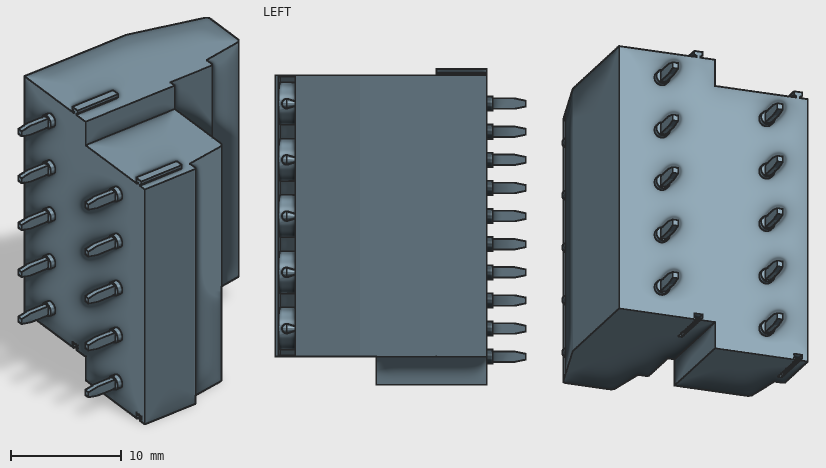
import cadquery as cq

PITCH = 5.07
POLES = 5
STAGGER = PITCH / 2
ROW_LENGTH = 25.4
TALL_ROW_START = STAGGER
LOW_ROW_START = 0

WIDTH = 18.3
TALL_HEIGHT = 19.1
TALL_STEP_HEIGHT = 14.8
LOW_HEIGHT = 10.0
LOW_STEP_HEIGHT = 5.8
SLANT_START = 11.43
SLANT_TOP = 2.05
TALL_FLANK_TOP = 6.93
TALL_FLANK_FOOT = 7.65
TALL_STEP_X = 8.65
ROW_JOINT_X = 9.3
LOW_FLANK_TOP = 16.65
LOW_FLANK_FOOT = 17.3
CREST_RADIUS = 0.43
STEP_RADIUS = 0.2

TALL_PIN_X = 4.08
LOW_PIN_X = TALL_PIN_X + 2 * PITCH
COLLAR_DIAMETER = 1.3
COLLAR_HEIGHT = 0.5
PIN_DROP = 3.5
PIN_THICKNESS = 0.5
PIN_BREADTH = 0.97
PIN_TIP_BREADTH = 0.55
PIN_TIP_LENGTH = 1.03
PIN_ROOT = 0.29

TALL_RAIL_X = 7.7
LOW_RAIL_X = 17.35
RAIL_HEIGHT = 4.55
RAIL_PROJECTION = 0.57
RAIL_BREADTH = 0.8
RAIL_NECK_BREADTH = 0.37
RAIL_NECK_END = 0.1
RAIL_FLARE_END = 0.23

WINDOW_FLOOR = 17.3
WINDOW_MOUTH_TOP = 18.82
WINDOW_BACK_TOP = 18.65
WINDOW_BACK_LEAN = 0.17
WINDOW_END_WALL = 0.15
CLAMP_RADIUS = 1.9
KNOB_RADIUS = 0.45
KNOB_TIP_RADIUS = 0.23
KNOB_HEIGHT = 18.05
KNOB_OFFSET = 0.1
KNOB_X = TALL_PIN_X - CLAMP_RADIUS - KNOB_OFFSET


def pole_positions(row_start):
    return [row_start + PITCH * (pole + 0.5) for pole in range(POLES)]


def extrude_outline(points, start, length):
    return cq.Workplane("XY", origin=(0, 0, start)).polyline(points).close().extrude(length)


def round_edges(body, corners, radius):
    """Round the lengthwise edges that run through the given outline corners."""
    for x, y in corners:
        nearest = cq.selectors.NearestToPointSelector((x, y, body.val().Center().z))
        body = body.edges("|Z").edges(nearest).fillet(radius)
    return body


def make_tall_row():
    back_crest = (SLANT_TOP, TALL_HEIGHT)
    front_crest = (TALL_FLANK_TOP, TALL_HEIGHT)
    step_corner = (TALL_STEP_X, TALL_STEP_HEIGHT)
    outline = [
        (0, 0),
        (0, SLANT_START),
        back_crest,
        front_crest,
        (TALL_FLANK_FOOT, TALL_STEP_HEIGHT),
        step_corner,
        (TALL_STEP_X, LOW_HEIGHT),
        (ROW_JOINT_X, LOW_HEIGHT),
        (ROW_JOINT_X, 0),
    ]
    row = extrude_outline(outline, TALL_ROW_START, ROW_LENGTH)
    row = round_edges(row, [back_crest, front_crest], CREST_RADIUS)
    return round_edges(row, [step_corner], STEP_RADIUS)


def make_low_row():
    crest = (LOW_FLANK_TOP, LOW_HEIGHT)
    step_corner = (WIDTH, LOW_STEP_HEIGHT)
    outline = [
        (ROW_JOINT_X, 0),
        (ROW_JOINT_X, LOW_HEIGHT),
        crest,
        (LOW_FLANK_FOOT, LOW_STEP_HEIGHT),
        step_corner,
        (WIDTH, 0),
    ]
    row = extrude_outline(outline, LOW_ROW_START, ROW_LENGTH)
    row = round_edges(row, [crest], CREST_RADIUS)
    return round_edges(row, [step_corner], STEP_RADIUS)


def make_window():
    outline = [
        (0, WINDOW_FLOOR),
        (0, WINDOW_MOUTH_TOP),
        (SLANT_TOP, WINDOW_MOUTH_TOP),
        (TALL_PIN_X, WINDOW_BACK_TOP),
        (TALL_PIN_X + WINDOW_BACK_LEAN, WINDOW_FLOOR),
    ]
    length = ROW_LENGTH - 2 * WINDOW_END_WALL
    return extrude_outline(outline, TALL_ROW_START + WINDOW_END_WALL, length)


def make_clamp(z):
    """Upright cylinder filling the window height, with a teardrop knob on its exposed side."""
    height = WINDOW_MOUTH_TOP - WINDOW_FLOOR
    upward = cq.Vector(0, 1, 0)
    cylinder = cq.Solid.makeCylinder(
        CLAMP_RADIUS, height, cq.Vector(TALL_PIN_X, WINDOW_FLOOR, z), upward
    )
    knob_profile = (
        cq.Workplane("XY", origin=(KNOB_X, KNOB_HEIGHT, z))
        .moveTo(0, WINDOW_FLOOR - KNOB_HEIGHT)
        .lineTo(KNOB_TIP_RADIUS, WINDOW_FLOOR - KNOB_HEIGHT)
        .lineTo(KNOB_RADIUS, 0)
        .radiusArc((0, KNOB_RADIUS), -KNOB_RADIUS)
        .close()
    )
    knob = knob_profile.revolve(360, (0, 0, 0), (0, 1, 0))
    return cq.Workplane(cylinder).union(knob)


def make_pin(x, z):
    downward = cq.Vector(0, -1, 0)
    collar = cq.Solid.makeCylinder(
        COLLAR_DIAMETER / 2, COLLAR_HEIGHT + PIN_ROOT, cq.Vector(x, PIN_ROOT, z), downward
    )
    half = PIN_BREADTH / 2
    half_tip = PIN_TIP_BREADTH / 2
    shoulder = PIN_TIP_LENGTH - PIN_DROP
    blade = (
        cq.Workplane("YZ", origin=(x, 0, z))
        .polyline([
            (0, -half),
            (shoulder, -half),
            (-PIN_DROP, -half_tip),
            (-PIN_DROP, half_tip),
            (shoulder, half),
            (0, half),
        ])
        .close()
        .extrude(PIN_THICKNESS / 2, both=True)
    )
    return cq.Workplane(collar).union(blade)


def make_dovetail(x, z):
    """Dovetail bar standing on the plane at z and widening towards +Z."""
    half = RAIL_BREADTH / 2
    half_neck = RAIL_NECK_BREADTH / 2
    return (
        cq.Workplane("XZ", origin=(x, 0, z))
        .polyline([
            (-half_neck, 0),
            (-half_neck, RAIL_NECK_END),
            (-half, RAIL_FLARE_END),
            (-half, RAIL_PROJECTION),
            (half, RAIL_PROJECTION),
            (half, RAIL_FLARE_END),
            (half_neck, RAIL_NECK_END),
            (half_neck, 0),
        ])
        .close()
        .extrude(-RAIL_HEIGHT)
    )


result = make_tall_row().union(make_low_row()).cut(make_window())

for pole_z in pole_positions(TALL_ROW_START):
    result = result.union(make_clamp(pole_z))
    result = result.union(make_pin(TALL_PIN_X, pole_z))

for pole_z in pole_positions(LOW_ROW_START):
    result = result.union(make_pin(LOW_PIN_X, pole_z))

for rail_x, row_start in [(TALL_RAIL_X, TALL_ROW_START), (LOW_RAIL_X, LOW_ROW_START)]:
    result = result.union(make_dovetail(rail_x, row_start + ROW_LENGTH))
    result = result.cut(make_dovetail(rail_x, row_start))